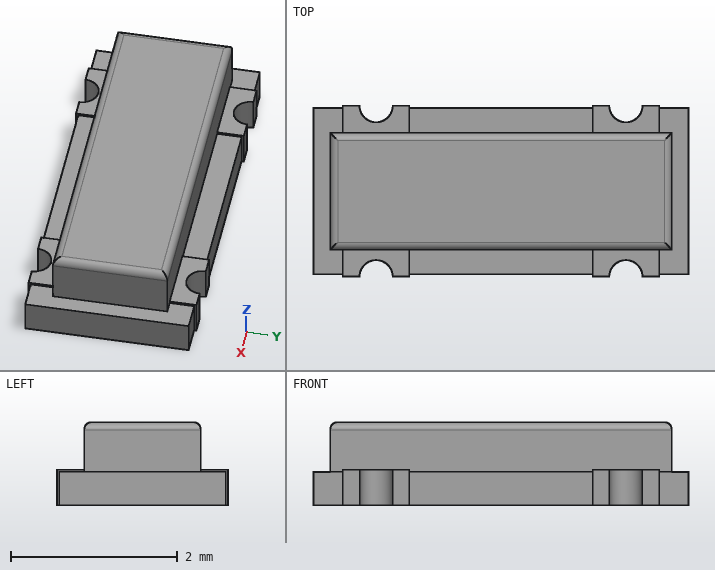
import cadquery as cq

base_length = 4.5
base_width = 2.0
base_height = 0.4

terminal_length = 0.8
terminal_spacing = 2.995
terminal_side_step = 0.025
terminal_top_step = 0.025
notch_radius = 0.2

lid_length = 4.1
lid_width = 1.4
lid_fillet = 0.09
overall_height = 1.0

terminal_span = base_width + 2 * terminal_side_step
terminal_height = base_height + terminal_top_step


def block(length, width, height):
    """Box centred in X and Y, standing on the bottom plane."""
    return cq.Workplane("XY").box(length, width, height, centered=(True, True, False))


def terminal_bands():
    """Two bands across the base; each end forms one terminal."""
    band = block(terminal_length, terminal_span, terminal_height)
    left = band.translate((-terminal_spacing / 2, 0, 0))
    right = band.translate((terminal_spacing / 2, 0, 0))
    return left.union(right)


def edge_notches():
    """Round notches through the outer edge of each terminal."""
    return (
        cq.Workplane("XY")
        .rect(terminal_spacing, terminal_span, forConstruction=True)
        .vertices()
        .circle(notch_radius)
        .extrude(terminal_height)
    )


def lid():
    """Lid block through to the base underside, with rounded top edges."""
    return block(lid_length, lid_width, overall_height).faces(">Z").edges().fillet(lid_fillet)


base = block(base_length, base_width, base_height)
result = base.union(terminal_bands()).cut(edge_notches()).union(lid())